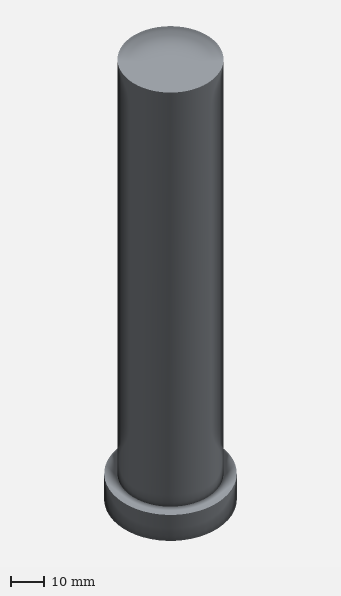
import cadquery as cq

total_length = 170.0
head_diameter = 40.0
head_height = 10.0
shank_diameter = 32.0

head = cq.Workplane("XY").circle(head_diameter / 2).extrude(head_height)

shank = cq.Workplane("XY").circle(shank_diameter / 2).extrude(total_length)

result = head.union(shank)